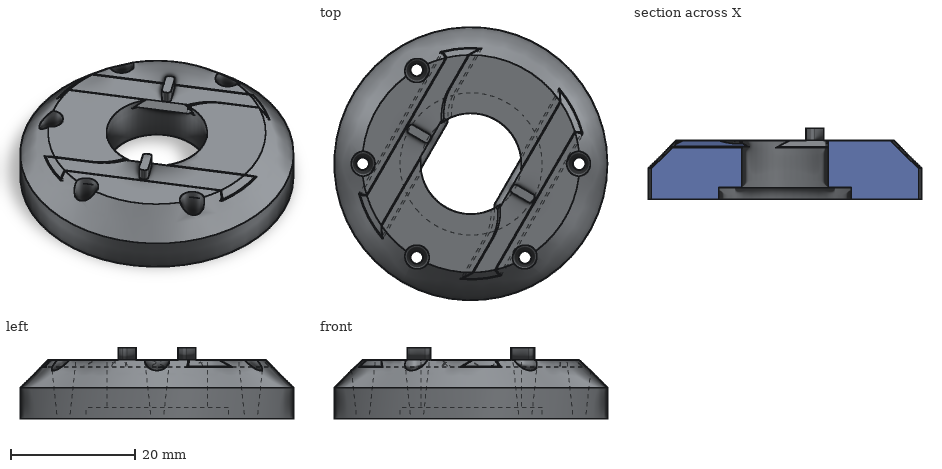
import cadquery as cq
import math

outer_diameter = 44.0
base_height = 5.0
bevel = 4.5
bore_diameter = 16.2
recess_diameter = 22.87
recess_depth = 1.9
top_z = base_height + bevel

screw_circle_radius = 17.4
screw_angles = [0, 120, 180, 240, 300]
screw_hole_diameter = 2.0
screw_head_diameter = 4.0

slider_direction = 60
slider_turns = [0, 180]
slider_depth = 1.0
dovetail_angle = 45
slider_near = 7.55
slider_far = 11.88
narrow_near = 9.1
bend_start = 3.6
bend_radius = 17.0 / 2
bend_angle = 30
clearance = 0.15
bend_clearance = 0.53

peg_width = 1.5
peg_length = 4.0
peg_height = 11.5 - top_z
peg_corner_radius = 0.53
peg_offset = 9.65


def make_blank():
    """Solid outer form of the closed assembly, without holes."""
    return (
        cq.Workplane("XY")
        .circle(outer_diameter / 2)
        .extrude(top_z)
        .faces(">Z")
        .chamfer(bevel)
    )


def make_dovetail(near, narrow, far, bend_at, depth):
    """Bar along X that widens downward from the top face.

    Its near edge steps out from `near` to `narrow` with a slanted line and an arc.
    """
    turn = math.radians(bend_angle)
    arc_rise = bend_radius * (1 - math.cos(turn))
    slant_rise = narrow - near - arc_rise
    slant_end_x = bend_at + slant_rise / math.tan(turn)
    arc_end_x = slant_end_x + bend_radius * math.sin(turn)
    arc_middle = (
        arc_end_x - bend_radius * math.sin(turn / 2),
        narrow - bend_radius * (1 - math.cos(turn / 2)),
    )
    half_length = outer_diameter / 2
    return (
        cq.Workplane("XY", origin=(0, 0, top_z))
        .moveTo(-half_length, near)
        .lineTo(bend_at, near)
        .lineTo(slant_end_x, near + slant_rise)
        .threePointArc(arc_middle, (arc_end_x, narrow))
        .lineTo(half_length, narrow)
        .lineTo(half_length, far)
        .lineTo(-half_length, far)
        .close()
        .extrude(-depth, taper=-dovetail_angle)
    )


def place(body, turn):
    """Swing a body from the X direction to its slider direction."""
    return body.rotate((0, 0, 0), (0, 0, 1), slider_direction + turn)


def make_groove():
    return make_dovetail(
        slider_near - clearance,
        narrow_near - clearance,
        slider_far + clearance,
        bend_start + bend_clearance,
        slider_depth + clearance,
    )


def make_screw_hole():
    """Steep conical through hole that narrows from the top to the bottom."""
    hole_radius = screw_hole_diameter / 2
    head_radius = screw_head_diameter / 2
    return (
        cq.Workplane("XZ")
        .polyline([
            (0, 0),
            (hole_radius, 0),
            (head_radius, top_z),
            (0, top_z),
        ])
        .close()
        .revolve(360, (0, 0, 0), (0, 1, 0))
        .translate((screw_circle_radius, 0, 0))
    )


def make_housing():
    bore = cq.Workplane("XY").circle(bore_diameter / 2).extrude(top_z)
    recess = cq.Workplane("XY").circle(recess_diameter / 2).extrude(recess_depth)
    housing = make_blank().cut(bore).cut(recess)
    groove = make_groove()
    for turn in slider_turns:
        housing = housing.cut(place(groove, turn))
    screw_hole = make_screw_hole()
    for angle in screw_angles:
        housing = housing.cut(screw_hole.rotate((0, 0, 0), (0, 0, 1), angle))
    return housing


def make_slider(turn):
    """Dovetail bar trimmed flush with the bevel, with its peg on top."""
    bar = make_dovetail(slider_near, narrow_near, slider_far, bend_start, slider_depth)
    peg = (
        cq.Workplane("XY", origin=(0, peg_offset, top_z - slider_depth))
        .rect(peg_width, peg_length)
        .extrude(slider_depth + peg_height)
        .edges("|Z")
        .fillet(peg_corner_radius)
    )
    return place(bar.intersect(make_blank()).union(peg), turn)


housing = make_housing()
sliders = [make_slider(turn) for turn in slider_turns]

solids = [body.solids().val() for body in [housing, *sliders]]
result = cq.Compound.makeCompound(solids)